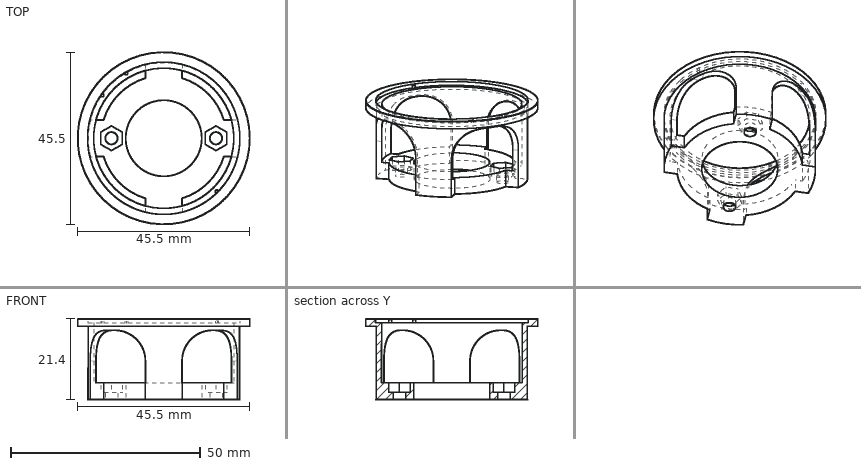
import cadquery as cq
import math

height = 21.35
flange_diameter = 45.5
flange_thickness = 2.0
rim_chamfer = 0.1
body_diameter = 40.0
bore_diameter = 37.0

seat_diameter = 40.2
seat_depth = 1.0
pin_diameter = 0.77
pin_height = 0.77
pin_circle_radius = 19.8
pin_angles = (120, 145, -45)

floor_thickness = 4.5
floor_ring_diameter = 33.2
center_hole_diameter = 20.0

pillar_width = 9.75
window_top = 18.3
window_corner_radius = 8.0

screw_offset = 13.8
screw_diameter = 3.2
nut_across_flats = 5.65
nut_pocket_depth = 2.5


def cylinder(diameter, bottom, top):
    return cq.Workplane("XY").workplane(offset=bottom).circle(diameter / 2).extrude(top - bottom)


def make_shell():
    """Flanged cup with a stepped bore and a thick, pierced floor."""
    seat_level = height - seat_depth
    shell = cylinder(body_diameter, 0, height)
    flange = cylinder(flange_diameter, height - flange_thickness, height)
    shell = shell.union(flange.edges(">Z").chamfer(rim_chamfer))
    shell = shell.cut(cylinder(bore_diameter, floor_thickness, height))
    shell = shell.cut(cylinder(seat_diameter, seat_level, height))
    return shell.cut(cylinder(center_hole_diameter, 0, floor_thickness))


def make_window():
    """Window cutter for the +X +Y quadrant, rounded along its two inner top edges."""
    inner = pillar_width / 2
    size = flange_diameter / 2
    return (
        cq.Workplane("XY")
        .box(size, size, window_top, centered=False)
        .edges(">Z and (<X or <Y)")
        .fillet(window_corner_radius)
        .translate((inner, inner, 0))
    )


def cut_windows(body):
    """Cut the windows, keeping the part of the floor inside the floor ring."""
    floor_ring = cylinder(floor_ring_diameter, 0, floor_thickness)
    window = make_window().cut(floor_ring)
    for angle in (0, 90, 180, 270):
        body = body.cut(window.rotate((0, 0, 0), (0, 0, 1), angle))
    return body


def cut_screw_holes(body):
    """Through holes on the X axis, each under a nut pocket with flats facing X."""
    nut_across_corners = nut_across_flats / math.cos(math.pi / 6)
    nut = (
        cq.Workplane("XY")
        .workplane(offset=floor_thickness - nut_pocket_depth)
        .polygon(6, nut_across_corners)
        .extrude(nut_pocket_depth)
        .rotate((0, 0, 0), (0, 0, 1), 30)
    )
    cutter = nut.union(cylinder(screw_diameter, 0, floor_thickness))
    for x in (-screw_offset, screw_offset):
        body = body.cut(cutter.translate((x, 0, 0)))
    return body


def add_pins(body):
    """Locating pins at the rim of the seat, partly merged with its wall."""
    seat_level = height - seat_depth
    pin = cylinder(pin_diameter, seat_level, seat_level + pin_height)
    for angle in pin_angles:
        placed_pin = pin.translate((pin_circle_radius, 0, 0)).rotate((0, 0, 0), (0, 0, 1), angle)
        body = body.union(placed_pin)
    return body


result = add_pins(cut_screw_holes(cut_windows(make_shell())))